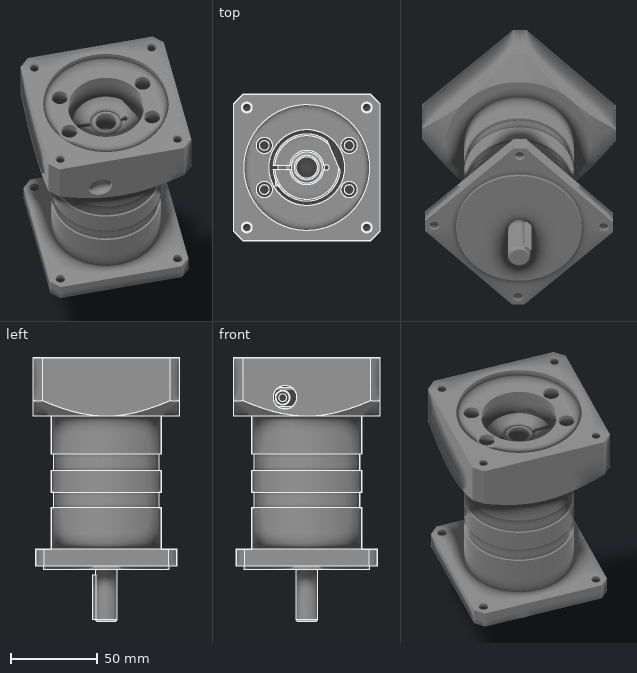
import cadquery as cq
import math


CUT_MARGIN = 1.0

flange_side = 82.0
flange_corner_edge = 72.0
flange_height = 10.0
flange_hole_diameter = 5.5
pilot_diameter = 73.0
pilot_height = 2.0
shaft_diameter = 12.7
shaft_length = 30.0
shaft_tip_chamfer = 1.0
shaft_neck_length = 0.9
shaft_neck_depth = 0.2
shaft_tip_z = -pilot_height - shaft_length

key_width = 4.0
key_length = 26.0
key_top_y = 8.0
key_tip_gap = 1.0

case_diameter = 64.0
groove_diameter = 61.5
lower_groove_bottom_z = 34.0
lower_groove_top_z = 42.8
upper_groove_bottom_z = 55.6
upper_groove_top_z = 65.0

adapter_side = 85.0
adapter_corner_edge = 74.0
adapter_height = 34.0
adapter_cone_rise = 9.0
adapter_top_z = 121.05
adapter_bottom_z = adapter_top_z - adapter_height
bolt_spacing = 69.6

motor_recess_diameter = 73.0
motor_recess_depth = 4.0
ring_chamber_diameter = 44.0
ring_chamber_depth = 31.0

motor_hole_diameter = 5.0
motor_hole_mouth_diameter = 6.2
motor_hole_depth = 20.0
drill_tip_angle = 118.0

case_screw_x = 24.6
case_screw_y = 12.8
case_screw_head_diameter = 9.4
case_screw_head_depth = 19.0
case_screw_diameter = 5.6
case_screw_depth = 25.0

ring_diameter = 39.0
ring_height = 12.0
ring_chamfer = 1.0
ring_bore_diameter = 18.0
ring_middle_z = adapter_top_z - 23.25
ring_top_z = ring_middle_z + ring_height / 2
ring_bottom_z = ring_middle_z - ring_height / 2
ring_flat_distance = 17.0
ring_flat_angle = 23.4
slit_width = 2.4
hinge_slit_width = 2.0
hinge_hole_x = 11.3
hinge_hole_diameter = 3.2

input_shaft_bore_diameter = 12.4
input_shaft_chamfer = 1.8
input_shaft_shoulder_diameter = 20.4

screw_x = -14.0
screw_head_diameter = 8.5
screw_head_height = 5.0
screw_head_chamfer = 0.4
screw_head_face_y = -10.6
screw_shank_diameter = 5.2
screw_shank_end_y = 8.0
screw_socket_diameter = 4.5
screw_socket_depth = 2.5
port_diameter = 13.6
port_x = -12.6
port_z = adapter_top_z - 23.0


def cylinder(diameter, bottom_z, top_z):
    """Upright cylinder on the Z axis."""
    return cq.Workplane("XY", origin=(0, 0, bottom_z)).circle(diameter / 2).extrude(top_z - bottom_z)


def cylinder_along_y(diameter, x, z, start_y, end_y):
    """Cylinder parallel to Y between two Y positions."""
    plane = cq.Plane(origin=(x, start_y, z), xDir=(1, 0, 0), normal=(0, 1, 0))
    return cq.Workplane(plane).circle(diameter / 2).extrude(end_y - start_y)


def square_block(side, corner_edge, bottom_z, height):
    """Square block with its four upright corners cut at 45 degrees."""
    block = cq.Workplane("XY", origin=(0, 0, bottom_z)).rect(side, side).extrude(height)
    return block.edges("|Z").chamfer((side - corner_edge) / 2)


def make_adapter_block():
    """Square adapter whose underside is trimmed by a cone that widens upward."""
    inner_radius = adapter_side / 2
    corner_radius = math.hypot(adapter_side / 2, adapter_corner_edge / 2)
    cone_slope = adapter_cone_rise / (corner_radius - inner_radius)
    outer_radius = inner_radius + adapter_height / cone_slope
    cone = (
        cq.Workplane("XZ")
        .moveTo(0, adapter_bottom_z)
        .lineTo(inner_radius, adapter_bottom_z)
        .lineTo(outer_radius, adapter_top_z)
        .lineTo(0, adapter_top_z)
        .close()
        .revolve(360, (0, 0, 0), (0, 1, 0))
    )
    return square_block(adapter_side, adapter_corner_edge, adapter_bottom_z, adapter_height).intersect(cone)


def make_motor_hole():
    """Tapped hole with a countersunk mouth and a drill tip, on the Z axis."""
    radius = motor_hole_diameter / 2
    mouth_radius = motor_hole_mouth_diameter / 2
    straight_end_z = adapter_top_z - motor_hole_depth
    tip_length = radius / math.tan(math.radians(drill_tip_angle / 2))
    return (
        cq.Workplane("XZ")
        .moveTo(0, adapter_top_z)
        .lineTo(mouth_radius, adapter_top_z)
        .lineTo(radius, adapter_top_z - (mouth_radius - radius))
        .lineTo(radius, straight_end_z)
        .lineTo(0, straight_end_z - tip_length)
        .close()
        .revolve(360, (0, 0, 0), (0, 1, 0))
    )


def make_case_screw_hole():
    """Blind counterbored hole below the motor recess, on the Z axis."""
    head = cylinder(case_screw_head_diameter, adapter_top_z - case_screw_head_depth, adapter_top_z)
    return head.union(cylinder(case_screw_diameter, adapter_top_z - case_screw_depth, adapter_top_z))


def make_input_shaft():
    """Hollow motor-side shaft with a coned end, standing on the floor of the ring chamber."""
    floor_z = adapter_top_z - ring_chamber_depth
    shaft = cylinder(ring_bore_diameter, floor_z, ring_top_z).faces(">Z").edges().chamfer(input_shaft_chamfer)
    shaft = shaft.union(cylinder(input_shaft_shoulder_diameter, floor_z, ring_bottom_z))
    return shaft.cut(cylinder(input_shaft_bore_diameter, floor_z, ring_top_z))


def make_output_shaft():
    """Output shaft with a chamfered tip and its key."""
    shaft = cylinder(shaft_diameter, shaft_tip_z, -pilot_height)
    shaft = shaft.faces("<Z").chamfer(shaft_tip_chamfer)
    shaft = shaft.faces(">Z").chamfer(shaft_neck_length, shaft_neck_depth)
    key = (
        cq.Workplane("XY", origin=(0, 0, shaft_tip_z + key_tip_gap))
        .center(0, key_top_y / 2)
        .rect(key_width, key_top_y)
        .extrude(key_length)
    )
    return shaft.union(key)


def make_gearbox():
    """Flange, case, adapter, output shaft and hollow input shaft as one solid."""
    body = square_block(flange_side, flange_corner_edge, 0, flange_height)
    body = body.union(cylinder(pilot_diameter, -pilot_height, 0))
    body = body.union(cylinder(groove_diameter, flange_height, adapter_bottom_z))
    case_bands = [
        (flange_height, lower_groove_bottom_z),
        (lower_groove_top_z, upper_groove_bottom_z),
        (upper_groove_top_z, adapter_bottom_z),
    ]
    for band_bottom_z, band_top_z in case_bands:
        body = body.union(cylinder(case_diameter, band_bottom_z, band_top_z))
    body = body.union(make_adapter_block())

    body = body.cut(cylinder(motor_recess_diameter, adapter_top_z - motor_recess_depth, adapter_top_z))
    body = body.cut(cylinder(ring_chamber_diameter, adapter_top_z - ring_chamber_depth, adapter_top_z))
    body = body.cut(cylinder_along_y(port_diameter, port_x, port_z, -adapter_side / 2 - CUT_MARGIN, 0))

    motor_hole = make_motor_hole()
    flange_hole = cylinder(flange_hole_diameter, -CUT_MARGIN, flange_height + CUT_MARGIN)
    case_screw_hole = make_case_screw_hole()
    for x_side in (-1, 1):
        for y_side in (-1, 1):
            bolt_place = (x_side * bolt_spacing / 2, y_side * bolt_spacing / 2, 0)
            body = body.cut(motor_hole.translate(bolt_place))
            body = body.cut(flange_hole.translate(bolt_place))
            body = body.cut(case_screw_hole.translate((x_side * case_screw_x, y_side * case_screw_y, 0)))

    return body.union(make_input_shaft()).union(make_output_shaft())


def make_screw_blank():
    """Clamp screw without its socket, which is also the shape of its seat in the ring."""
    shoulder_y = screw_head_face_y + screw_head_height
    head = cylinder_along_y(screw_head_diameter, screw_x, ring_middle_z, screw_head_face_y, shoulder_y)
    shank = cylinder_along_y(screw_shank_diameter, screw_x, ring_middle_z, shoulder_y, screw_shank_end_y)
    return head.union(shank)


def make_clamp_screw():
    """Socket-head screw with a chamfered head rim."""
    screw = make_screw_blank().faces("<Y").edges().chamfer(screw_head_chamfer)
    socket_end_y = screw_head_face_y + screw_socket_depth
    return screw.cut(
        cylinder_along_y(screw_socket_diameter, screw_x, ring_middle_z, screw_head_face_y, socket_end_y)
    )


def make_clamp_ring():
    """Slit ring with a balancing flat, a hinge hole and a seat for the screw."""
    ring = cylinder(ring_diameter, ring_bottom_z, ring_top_z).edges().chamfer(ring_chamfer)
    ring = ring.cut(cylinder(ring_bore_diameter, ring_bottom_z, ring_top_z))
    bore_edge = cq.selectors.RadiusNthSelector(0)
    ring = ring.faces(">Z").edges(bore_edge).chamfer(ring_chamfer)

    outer_radius = ring_diameter / 2
    middle = cq.Workplane("XY", origin=(0, 0, ring_middle_z))
    flat_cut = middle.center(ring_flat_distance + outer_radius / 2, 0)
    flat_cut = flat_cut.box(outer_radius, ring_diameter, ring_height)
    ring = ring.cut(flat_cut.rotate((0, 0, 0), (0, 0, 1), ring_flat_angle))

    ring = ring.cut(middle.center(-outer_radius / 2, 0).box(outer_radius, slit_width, ring_height))
    ring = ring.cut(middle.center(hinge_hole_x / 2, 0).box(hinge_hole_x, hinge_slit_width, ring_height))
    ring = ring.cut(cylinder(hinge_hole_diameter, ring_bottom_z, ring_top_z).translate((hinge_hole_x, 0, 0)))

    head_clearance = cylinder_along_y(
        screw_head_diameter, screw_x, ring_middle_z, -outer_radius, screw_head_face_y
    )
    return ring.cut(make_screw_blank()).cut(head_clearance)


gearbox = make_gearbox()
clamp_ring = make_clamp_ring()
clamp_screw = make_clamp_screw()

bodies = [gearbox, clamp_ring, clamp_screw]
result = cq.Compound.makeCompound([body.solids().val() for body in bodies])